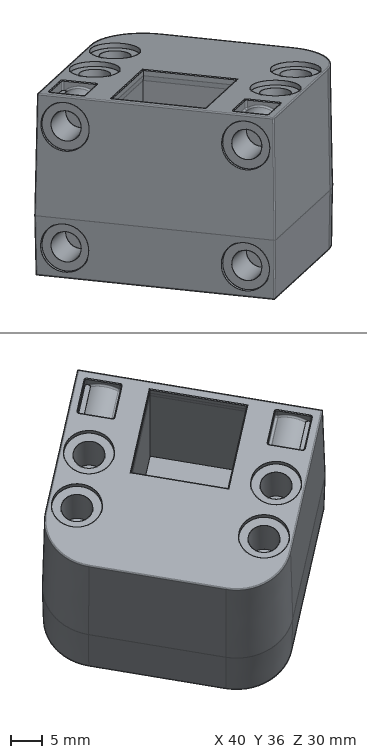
import math

import cadquery as cq

WIDTH = 40.0
DEPTH = 36.0
HEIGHT = 30.0
PARTING_Z = 9.9
BACK_CORNER_RADIUS = 9.0
DRAFT_ANGLE = 1.0
EDGE_RADIUS = 0.2

HOLE_X = 15.0
HOLE_DIAMETER = 5.0
HOLE_DEPTH = 8.0
COUNTERBORE_DIAMETER = 8.0
COUNTERBORE_DEPTH = 0.8
LOWER_FRONT_HOLE_Z = 5.0
UPPER_FRONT_HOLE_Z = 25.0
TOP_HOLE_YS = (15.0, 25.0)

WELL_SIDE = 15.5
WELL_CENTER_Y = 9.6
WELL_FLOOR_Z = PARTING_Z
WELL_RIM_CHAMFER = 0.15
RIDGE_HEIGHT = 0.03
RIDGE_CREST_DEPTH = 1.0
RIDGE_END_DEPTH = 1.8

WINDOW_INNER_X = 12.35
WINDOW_OUTER_X = 18.15
WINDOW_FRONT_Y = 1.8
WINDOW_BACK_Y = 8.15
WINDOW_RIM_CHAMFER = 0.15
WINDOW_FILLET = 0.3
TUBE_RADIUS = 4.0
SHELF_EDGE_X = 17.25
SHELF_Z = UPPER_FRONT_HOLE_Z + math.sqrt(TUBE_RADIUS**2 - (SHELF_EDGE_X - HOLE_X) ** 2)

OVERCUT = 1.0


def box_between(low, high):
    """Axis-aligned box between two opposite corners."""
    size = [b - a for a, b in zip(low, high)]
    return cq.Workplane("XY").box(*size, centered=False).translate(low)


def housing_half(height, end_face):
    """Drafted half of the housing, from the parting plane over a signed height to its end face."""
    outline = (
        cq.Sketch()
        .push([(0, DEPTH / 2)])
        .rect(WIDTH, DEPTH)
        .reset()
        .vertices(">Y")
        .fillet(BACK_CORNER_RADIUS)
    )
    parting_plane = cq.Workplane("XY", origin=(0, 0, PARTING_Z))
    half = parting_plane.placeSketch(outline).extrude(height, taper=DRAFT_ANGLE)
    end_edges = half.faces(end_face).edges()
    front_corners = half.faces("<Y").edges("not #Z")
    return end_edges.add(front_corners).fillet(EDGE_RADIUS)


def counterbored_hole(mouth, direction):
    """Cutter for a counterbored hole, starting outside the face it enters."""
    axis = cq.Vector(*direction)
    start = cq.Vector(*mouth) - axis * OVERCUT
    bore = cq.Solid.makeCylinder(HOLE_DIAMETER / 2, HOLE_DEPTH + OVERCUT, start, axis)
    recess = cq.Solid.makeCylinder(COUNTERBORE_DIAMETER / 2, COUNTERBORE_DEPTH + OVERCUT, start, axis)
    return cq.Workplane(bore.fuse(recess))


def square_frustum(base_z, height, base_side, slope_offset):
    """Square frustum whose sides move in by slope_offset over its (signed) height."""
    taper = math.degrees(math.atan2(slope_offset, abs(height)))
    base = cq.Workplane("XY", origin=(0, WELL_CENTER_Y, base_z)).rect(base_side, base_side)
    return base.extrude(height, taper=taper)


def well():
    """Cutter for the well: a straight shaft, then a mouth pinched in by the ridge, with a chamfered rim."""
    ridge_end_z = HEIGHT - RIDGE_END_DEPTH
    shaft = square_frustum(WELL_FLOOR_Z, ridge_end_z - WELL_FLOOR_Z, WELL_SIDE, 0)
    below_crest = square_frustum(ridge_end_z, RIDGE_END_DEPTH - RIDGE_CREST_DEPTH, WELL_SIDE, RIDGE_HEIGHT)
    above_crest = square_frustum(HEIGHT, -RIDGE_CREST_DEPTH, WELL_SIDE, RIDGE_HEIGHT)
    rim = square_frustum(HEIGHT, -WELL_RIM_CHAMFER, WELL_SIDE + 2 * WELL_RIM_CHAMFER, WELL_RIM_CHAMFER)
    return shaft.union(below_crest).union(above_crest).union(rim)


def window():
    """Cutter for the window on the +X side."""
    opening = box_between(
        (WINDOW_INNER_X, WINDOW_FRONT_Y, UPPER_FRONT_HOLE_Z),
        (WINDOW_OUTER_X, WINDOW_BACK_Y, HEIGHT),
    )
    tube = (
        cq.Workplane("XZ", origin=(HOLE_X, 0, UPPER_FRONT_HOLE_Z))
        .circle(TUBE_RADIUS)
        .extrude(-WINDOW_BACK_Y - OVERCUT)
    )
    shelf = box_between((HOLE_X, 0, 0), (WINDOW_OUTER_X + OVERCUT, WINDOW_BACK_Y + OVERCUT, SHELF_Z))
    opening = opening.cut(tube).cut(shelf)

    tube_edges = opening.faces("%CYLINDER").edges("not(>X)")
    inner_corners = opening.edges("|Z and <X")
    opening = tube_edges.add(inner_corners).fillet(WINDOW_FILLET)
    opening = opening.edges("|Z and >X").fillet(WINDOW_FILLET)

    rim = opening.faces(">Z").wires().toPending().offset2D(WINDOW_RIM_CHAMFER)
    return opening.union(rim.extrude(-WINDOW_RIM_CHAMFER, taper=45))


upper_half = housing_half(HEIGHT - PARTING_Z, ">Z")
lower_half = housing_half(-PARTING_Z, "<Z")
result = upper_half.union(lower_half).cut(well())

for x in (-HOLE_X, HOLE_X):
    for z in (LOWER_FRONT_HOLE_Z, UPPER_FRONT_HOLE_Z):
        result = result.cut(counterbored_hole((x, 0, z), (0, 1, 0)))
    for y in TOP_HOLE_YS:
        result = result.cut(counterbored_hole((x, y, HEIGHT), (0, 0, -1)))

right_window = window()
result = result.cut(right_window).cut(right_window.mirror("YZ"))